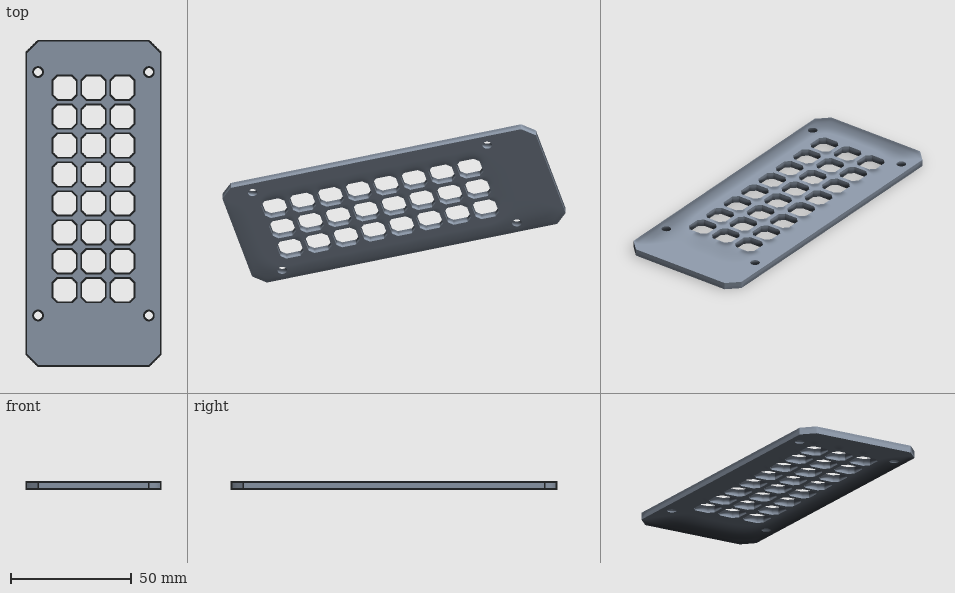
import cadquery as cq

PLATE_WIDTH = 56.0
PLATE_LENGTH = 135.0
PLATE_THICKNESS = 3.0
PLATE_CHAMFER = 5.0

WINDOW_SIZE = 10.0
WINDOW_CHAMFER = 2.0
WINDOW_PITCH = 12.0
WINDOW_COLUMNS = 3
WINDOW_ROWS = 8
GRID_CENTER_Y = 6.0

HOLE_DIAMETER = 4.0
HOLE_EDGE_X = 5.0
HOLE_EDGE_TOP = 13.0
HOLE_EDGE_BOTTOM = 21.0


def chamfered_block(width, length, chamfer):
    """Block of plate thickness, standing on Z = 0, with its four vertical edges chamfered."""
    block = cq.Workplane("XY").box(width, length, PLATE_THICKNESS, centered=(True, True, False))
    return block.edges("|Z").chamfer(chamfer)


def window_cutters():
    """One chamfered block for each window of the grid."""
    window = chamfered_block(WINDOW_SIZE, WINDOW_SIZE, WINDOW_CHAMFER).val()
    grid = cq.Workplane("XY").center(0, GRID_CENTER_Y)
    grid = grid.rarray(WINDOW_PITCH, WINDOW_PITCH, WINDOW_COLUMNS, WINDOW_ROWS)
    return grid.eachpoint(lambda location: window.moved(location), combine=False)


def mounting_hole_cutters():
    """Cylinders for the four through holes."""
    hole_x = PLATE_WIDTH / 2 - HOLE_EDGE_X
    top_y = PLATE_LENGTH / 2 - HOLE_EDGE_TOP
    bottom_y = HOLE_EDGE_BOTTOM - PLATE_LENGTH / 2
    centers = [(x, y) for x in (-hole_x, hole_x) for y in (bottom_y, top_y)]
    return cq.Workplane("XY").pushPoints(centers).circle(HOLE_DIAMETER / 2).extrude(PLATE_THICKNESS)


plate = chamfered_block(PLATE_WIDTH, PLATE_LENGTH, PLATE_CHAMFER)
result = plate.cut(window_cutters()).cut(mounting_hole_cutters())